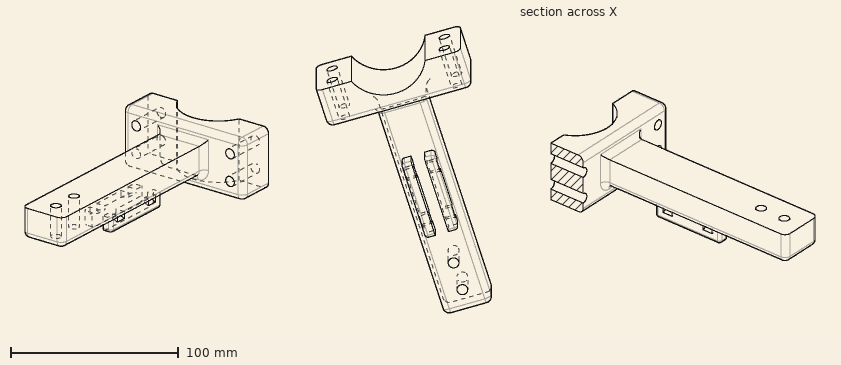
import cadquery as cq

block_width = 90.0
block_depth = 25.0
block_height = 40.0
edge_radius = 4.0

saddle_radius = 25.0
saddle_depth = 15.0

total_length = 165.0
arm_width = 30.0
arm_height = 20.0
arm_bottom = (block_height - arm_height) / 2
arm_tip = -total_length

hole_diameter = 6.5
block_hole_span_x = 70.0
block_hole_span_z = 18.0
arm_hole_spacing = 18.0
arm_hole_from_tip = 13.5

rail_length = 49.8
rail_thickness = 6.1
rail_gap = 8.2
rail_radius = 2.0
rail_start = 60.2
rail_outer = rail_gap / 2 + rail_thickness
rail_embed = 1.6
rail_center_y = -(rail_start + rail_length / 2)

slot_length = 7.0
slot_spacing = 31.0
slot_outer_floor = 5.5
slot_crest = 8.0


def make_block():
    block = cq.Workplane("XY").box(
        block_width, block_depth, block_height, centered=(True, False, False)
    ).translate((0, -block_depth, 0))
    block = block.edges("|Y or <Y").fillet(edge_radius)
    saddle = (
        cq.Workplane("XY")
        .center(0, saddle_radius - saddle_depth)
        .circle(saddle_radius)
        .extrude(block_height)
    )
    return block.cut(saddle)


def make_arm():
    arm_length = total_length - block_depth
    arm = cq.Workplane("XY").box(
        arm_width, arm_length, arm_height, centered=(True, False, False)
    ).translate((0, arm_tip, arm_bottom))
    arm = arm.edges("(|Z and <Y) or (<Z and (not >Y))").fillet(edge_radius)
    return arm


def fillet_root(body):
    """Round the inner corner where the arm meets the block."""
    margin = 0.2
    root_edges = cq.selectors.BoxSelector(
        (-arm_width / 2 - margin, -block_depth - margin, arm_bottom - margin),
        (arm_width / 2 + margin, -block_depth + margin, arm_bottom + arm_height + margin),
    )
    return body.edges(root_edges).fillet(edge_radius)


def make_rails():
    rails = cq.Workplane("XY").box(
        2 * rail_outer, rail_length, arm_bottom + rail_embed, centered=(True, True, False)
    )
    rails = rails.edges("|Z or <Z").fillet(rail_radius)
    gap = cq.Workplane("XY").box(
        rail_gap, rail_length, arm_bottom + rail_embed, centered=(True, True, False)
    )
    return rails.cut(gap).translate((0, rail_center_y, 0))


def make_slots():
    slot = (
        cq.Workplane("XZ")
        .moveTo(-rail_outer, slot_outer_floor)
        .threePointArc((0, slot_crest), (rail_outer, slot_outer_floor))
        .lineTo(rail_outer, arm_bottom)
        .lineTo(-rail_outer, arm_bottom)
        .close()
        .extrude(slot_length / 2, both=True)
    )
    offset = slot_spacing / 2
    return slot.translate((0, rail_center_y - offset, 0)).union(
        slot.translate((0, rail_center_y + offset, 0))
    )


def make_block_holes():
    return (
        cq.Workplane("XZ")
        .center(0, block_height / 2)
        .rect(block_hole_span_x, block_hole_span_z, forConstruction=True)
        .vertices()
        .circle(hole_diameter / 2)
        .extrude(block_depth)
    )


def make_arm_holes():
    first_y = arm_tip + arm_hole_from_tip
    return (
        cq.Workplane("XY")
        .pushPoints([(0, first_y), (0, first_y + arm_hole_spacing)])
        .circle(hole_diameter / 2)
        .extrude(block_height)
    )


body = fillet_root(make_block().union(make_arm()))
body = body.union(make_rails().cut(make_slots()))
result = body.cut(make_block_holes()).cut(make_arm_holes())